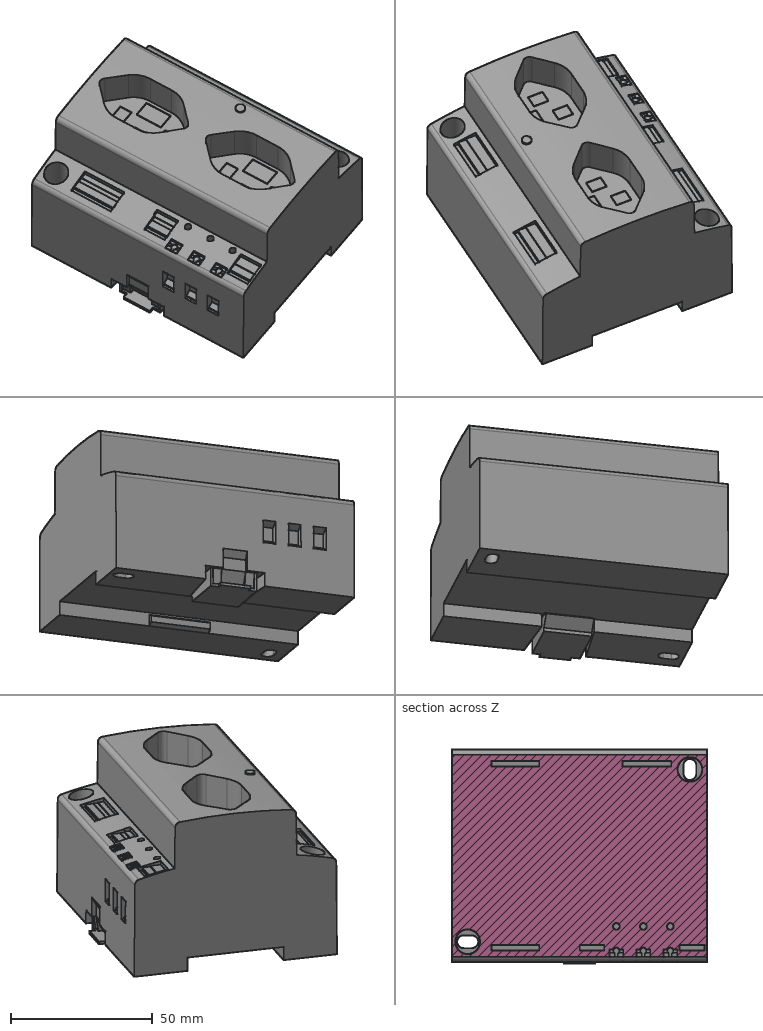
import cadquery as cq
import math

LENGTH = 90.0
BASE_HALF_DEPTH = 37.5
TOWER_HALF_DEPTH = 22.6
WALL_DRAFT = 0.25
TOP_HEIGHT = 57.35
TOP_RADIUS = 217.0
SHOULDER_CROWN = 40.85
SHOULDER_RADIUS = 146.0
EDGE_RADIUS = 2.0

RAIL_HALF_WIDTH = 17.75
RAIL_DEPTH = 5.0
CATCH_REACH = 1.8
CATCH_HALF_LENGTH = 11.2
CATCH_NOSE_BOTTOM = 1.0
CATCH_NOSE_TOP = 3.3
CATCH_BEND = 3.9
CATCH_TOP = 4.0

SOCKET_X = 22.6
SOCKET_FLOOR = 44.3
SOCKET_HALF_LENGTH = 19.4
SOCKET_HALF_WIDTH = 10.6
SOCKET_SIDE_RADIUS = 10.3
SOCKET_NOSE_RADIUS = 2.3
OPENING_DEPTH = 0.3
PIN_OPENING = (4.7, 5.7)
PIN_PITCH = 9.5
EARTH_PIN_Y = -4.9
WIDE_OPENING = (10.3, 6.2)
WIDE_OPENING_Y = 6.2

LAMP_X = 6.6
LAMP_Y = 17.5
LAMP_RADIUS = 1.75
LAMP_TOP = 57.2

WINDOW_INNER_Y = 24.65
WINDOW_STEP_Y = (28.45, 31.5)
WINDOW_OUTER_Y = 33.3
WINDOW_FLOORS = (37.3, 37.0, 36.0)
GROOVE_Y = (26.8, 28.45)
GROOVE_FLOOR = 37.05
LONG_WINDOW_LEFT = (-31.0, -14.2)
LONG_WINDOW_RIGHT = (15.2, 32.3)
SHORT_WINDOW_MIDDLE = (0.1, 8.7)
SHORT_WINDOW_RIGHT = (35.3, 44.0)
WIDENED_BY = 0.4

TERMINAL_XS = (13.0, 22.5, 32.0)
TERMINAL_WIDTH = 4.7
WIRE_BOTTOM = 16.3
WIRE_TOP = 24.7
WIRE_BACK_BOTTOM = 17.9
WIRE_BACK_TOP = 23.05
WIRE_DEPTH = 3.0
WIRE_LIP_DEPTH = 1.0
WIRE_LIP_TOP = 16.75
PIT_INNER_Y = 31.8
PIT_STEP_Y = (33.1, 34.1)
PIT_OUTER_Y = 35.65
PIT_FLOORS = (36.5, 36.35, 36.2)
KEYHOLE_Y = -33.5
KEYHOLE_RADIUS = 1.1
KEYHOLE_SLOT = 1.0
KEYHOLE_FLOOR = 36.0
STATUS_HOLE_Y = -24.9
STATUS_HOLE_RADIUS = 1.15
STATUS_HOLE_FLOOR = 34.0

BORE_RADIUS = 4.3
BORE_FLOOR = 8.0
SLOT_LENGTH = 7.4
SLOT_WIDTH = 4.4
FRONT_MOUNT = (-39.4, -30.3)
BACK_MOUNT = (38.9, 30.4)

LATCH_HALF_WIDTH = 8.65
LATCH_BOTTOM = -1.8
LATCH_FRONT_Y = -35.9
LATCH_WALL = 0.85
LATCH_FLOOR = -0.75
LATCH_POCKET_BACK_Y = -35.0
HOOK_BOTTOM = -0.4
HOOK_TIP = (-14.3, 3.5)
HOOK_BEND = (-16.1, 4.0)
HOOK_TOP_Y = -16.7
RECESS_FRONT_HALF_WIDTH = 11.2
RECESS_BACK_HALF_WIDTH = 9.5
TONGUE_HALF_WIDTH = 5.6
TONGUE_TIP_Y = -37.98
TOOL_SLOT_HALF_WIDTH = 4.5
TOOL_SLOT_TOP = 12.35
TOOL_SLOT_BACK_TOP = 9.4
TOOL_SLOT_BACK_BOTTOM = RAIL_DEPTH
TOOL_SLOT_BACK_Y = LATCH_FRONT_Y
TOOL_SLOT_FOOT_Y = -33.3

ABOVE = 5.0


def arc_height(crown, radius, y):
    """Height at y of a circular arc in the YZ plane, highest at y = 0."""
    return crown - radius + math.sqrt(radius**2 - y**2)


def box(x_range, y_range, z_range):
    """Box between two values along each axis."""
    size = [high - low for low, high in (x_range, y_range, z_range)]
    return cq.Workplane("XY").box(*size, centered=False).translate((x_range[0], y_range[0], z_range[0]))


def bar(points, half_width, x_centre=0):
    """Outline of (y, z) points extruded along X to half_width each side of x_centre."""
    outline = cq.Workplane("YZ").polyline(points).close()
    return outline.extrude(half_width, both=True).translate((x_centre, 0, 0))


def make_housing():
    body_top_y = BASE_HALF_DEPTH - WALL_DRAFT
    tower_top_y = TOWER_HALF_DEPTH - WALL_DRAFT
    middle_y = (body_top_y + TOWER_HALF_DEPTH) / 2

    def shoulder(y):
        return (y, arc_height(SHOULDER_CROWN, SHOULDER_RADIUS, y))

    tower_top_z = arc_height(TOP_HEIGHT, TOP_RADIUS, tower_top_y)
    profile = (
        cq.Workplane("YZ")
        .moveTo(-BASE_HALF_DEPTH, 0)
        .lineTo(*shoulder(-body_top_y))
        .threePointArc(shoulder(-middle_y), shoulder(-TOWER_HALF_DEPTH))
        .lineTo(-tower_top_y, tower_top_z)
        .threePointArc((0, TOP_HEIGHT), (tower_top_y, tower_top_z))
        .lineTo(*shoulder(TOWER_HALF_DEPTH))
        .threePointArc(shoulder(middle_y), shoulder(body_top_y))
        .lineTo(BASE_HALF_DEPTH, 0)
        .lineTo(RAIL_HALF_WIDTH, 0)
        .lineTo(RAIL_HALF_WIDTH, RAIL_DEPTH)
        .lineTo(-RAIL_HALF_WIDTH, RAIL_DEPTH)
        .lineTo(-RAIL_HALF_WIDTH, 0)
        .close()
    )
    housing = profile.extrude(LENGTH / 2, both=True)
    for y, z in ((body_top_y, shoulder(body_top_y)[1]), (tower_top_y, tower_top_z)):
        for side in (-1, 1):
            corner = cq.selectors.NearestToPointSelector((0, side * y, z))
            housing = housing.edges("|X").edges(corner).fillet(EDGE_RADIUS)
    return housing


def make_catch():
    tip_y = RAIL_HALF_WIDTH - CATCH_REACH
    points = [
        (RAIL_HALF_WIDTH, 0.0),
        (tip_y, CATCH_NOSE_BOTTOM),
        (tip_y, CATCH_NOSE_TOP),
        (RAIL_HALF_WIDTH - CATCH_REACH / 2, CATCH_BEND),
        (RAIL_HALF_WIDTH, CATCH_TOP),
    ]
    return bar(points, CATCH_HALF_LENGTH)


def socket_cutter():
    """Pointed six-sided recess with 45 degree flanks and rounded corners."""
    shoulder_x = SOCKET_HALF_LENGTH - SOCKET_HALF_WIDTH
    points = [
        (-SOCKET_HALF_LENGTH, 0),
        (-shoulder_x, SOCKET_HALF_WIDTH),
        (shoulder_x, SOCKET_HALF_WIDTH),
        (SOCKET_HALF_LENGTH, 0),
        (shoulder_x, -SOCKET_HALF_WIDTH),
        (-shoulder_x, -SOCKET_HALF_WIDTH),
    ]
    height = TOP_HEIGHT + ABOVE - SOCKET_FLOOR
    recess = cq.Workplane("XY").polyline(points).close().extrude(height)
    recess = recess.edges("|Z").edges("<X or >X").fillet(SOCKET_NOSE_RADIUS)
    for x in (-shoulder_x, shoulder_x):
        for y in (-SOCKET_HALF_WIDTH, SOCKET_HALF_WIDTH):
            corner = cq.selectors.NearestToPointSelector((x, y, height / 2))
            recess = recess.edges("|Z").edges(corner).fillet(SOCKET_SIDE_RADIUS)
    return recess.translate((0, 0, SOCKET_FLOOR))


def contact_openings():
    floor = cq.Workplane("XY").workplane(offset=SOCKET_FLOOR - OPENING_DEPTH)
    pin_places = [(-PIN_PITCH, 0), (PIN_PITCH, 0), (0, EARTH_PIN_Y)]
    pins = floor.pushPoints(pin_places).rect(*PIN_OPENING).extrude(OPENING_DEPTH)
    wide = floor.center(0, WIDE_OPENING_Y).rect(*WIDE_OPENING).extrude(OPENING_DEPTH)
    return pins.union(wide)


def make_lamp():
    lamp = cq.Workplane("XY").circle(LAMP_RADIUS).extrude(LAMP_TOP - SOCKET_FLOOR)
    return lamp.translate((LAMP_X, LAMP_Y, SOCKET_FLOOR))


def stepped_cutter(half_width, y_edges, floors):
    """Cutter open at the top, on the +Y side, whose floor steps at the given y values."""
    top = SHOULDER_CROWN
    points = [(y_edges[0], top)]
    for index, floor in enumerate(floors):
        points.append((y_edges[index], floor))
        points.append((y_edges[index + 1], floor))
    points.append((y_edges[-1], top))
    return bar(points, half_width)


def window_cutter(x_range, side, grooved=False):
    """Shoulder window with a stepped floor; side is -1 at the front and 1 at the back."""
    y_edges = (WINDOW_INNER_Y, *WINDOW_STEP_Y, WINDOW_OUTER_Y)
    cutter = stepped_cutter((x_range[1] - x_range[0]) / 2, y_edges, WINDOW_FLOORS)
    cutter = cutter.translate((sum(x_range) / 2, 0, 0))
    if grooved:
        cutter = cutter.union(box(x_range, GROOVE_Y, (GROOVE_FLOOR, SHOULDER_CROWN)))
    return cutter if side > 0 else cutter.mirror("XZ")


def window_cutters():
    left = SHORT_WINDOW_MIDDLE[0]
    widening = box(
        (left - WIDENED_BY, left),
        (-GROOVE_Y[0], -WINDOW_INNER_Y),
        (WINDOW_FLOORS[0], SHOULDER_CROWN),
    )
    return [
        window_cutter(LONG_WINDOW_LEFT, -1, grooved=True),
        window_cutter(SHORT_WINDOW_MIDDLE, -1, grooved=True),
        widening,
        window_cutter(SHORT_WINDOW_RIGHT, -1),
        window_cutter(LONG_WINDOW_LEFT, 1),
        window_cutter(LONG_WINDOW_RIGHT, 1),
    ]


def terminal_cutters(x):
    """Wire entry in the front wall, screw pit above it and status hole behind that."""
    front = -BASE_HALF_DEPTH
    wire_back = front + WIRE_DEPTH
    wire_points = [
        (front, WIRE_BOTTOM),
        (front + WIRE_LIP_DEPTH, WIRE_BOTTOM),
        (front + WIRE_LIP_DEPTH, WIRE_LIP_TOP),
        (wire_back, WIRE_BACK_BOTTOM),
        (wire_back, WIRE_BACK_TOP),
        (front, WIRE_TOP),
    ]
    wire = bar(wire_points, TERMINAL_WIDTH / 2, x)

    pit_edges = (PIT_INNER_Y, *PIT_STEP_Y, PIT_OUTER_Y)
    pit = stepped_cutter(TERMINAL_WIDTH / 2, pit_edges, PIT_FLOORS).mirror("XZ").translate((x, 0, 0))
    keyhole_z = (KEYHOLE_FLOOR, SHOULDER_CROWN)
    keyhole = round_cutter(x, KEYHOLE_Y, KEYHOLE_RADIUS, KEYHOLE_FLOOR)
    slot_x = (x - KEYHOLE_SLOT / 2, x + KEYHOLE_SLOT / 2)
    keyhole_slot = box(slot_x, (-PIT_OUTER_Y, KEYHOLE_Y), keyhole_z)

    status = round_cutter(x, STATUS_HOLE_Y, STATUS_HOLE_RADIUS, STATUS_HOLE_FLOOR)
    return [wire, pit, keyhole, keyhole_slot, status]


def round_cutter(x, y, radius, floor):
    """Upright cylinder from floor to above the shoulder."""
    return cq.Workplane("XY").circle(radius).extrude(SHOULDER_CROWN - floor).translate((x, y, floor))


def mount_cutters(place, slot_angle):
    """Counterbored through slot for a fixing screw."""
    bore = round_cutter(*place, BORE_RADIUS, BORE_FLOOR)
    slot = cq.Workplane("XY").slot2D(SLOT_LENGTH, SLOT_WIDTH, slot_angle).extrude(BORE_FLOOR)
    return [bore, slot.translate((*place, 0))]


def latch_recess():
    """Bay through the front foot, narrowing towards the rail notch."""
    points = [
        (-RECESS_FRONT_HALF_WIDTH, -BASE_HALF_DEPTH),
        (RECESS_FRONT_HALF_WIDTH, -BASE_HALF_DEPTH),
        (RECESS_BACK_HALF_WIDTH, -RAIL_HALF_WIDTH),
        (-RECESS_BACK_HALF_WIDTH, -RAIL_HALF_WIDTH),
    ]
    return cq.Workplane("XY").polyline(points).close().extrude(RAIL_DEPTH)


def tool_slot():
    """Screwdriver slot above the latch, running down into it."""
    points = [
        (-BASE_HALF_DEPTH, TOOL_SLOT_TOP),
        (TOOL_SLOT_BACK_Y, TOOL_SLOT_BACK_TOP),
        (TOOL_SLOT_BACK_Y, TOOL_SLOT_BACK_BOTTOM),
        (TOOL_SLOT_FOOT_Y, LATCH_FLOOR),
        (-BASE_HALF_DEPTH, LATCH_FLOOR),
    ]
    return bar(points, TOOL_SLOT_HALF_WIDTH)


def make_latch():
    """Sliding foot with a hook in the rail notch and a pull tongue at the front."""
    slider_points = [
        (LATCH_FRONT_Y, LATCH_BOTTOM),
        (-RAIL_HALF_WIDTH, LATCH_BOTTOM),
        (-RAIL_HALF_WIDTH, HOOK_BOTTOM),
        HOOK_TIP,
        HOOK_BEND,
        (HOOK_TOP_Y, RAIL_DEPTH),
        (LATCH_FRONT_Y, RAIL_DEPTH),
    ]
    slider = bar(slider_points, LATCH_HALF_WIDTH)
    pocket_points = [
        (LATCH_FRONT_Y, RAIL_DEPTH),
        (LATCH_POCKET_BACK_Y, LATCH_FLOOR),
        (LATCH_FRONT_Y, LATCH_FLOOR),
    ]
    pocket = bar(pocket_points, LATCH_HALF_WIDTH - LATCH_WALL)
    tongue = box(
        (-TONGUE_HALF_WIDTH, TONGUE_HALF_WIDTH),
        (TONGUE_TIP_Y, LATCH_FRONT_Y),
        (LATCH_BOTTOM, LATCH_FLOOR),
    )
    return slider.cut(pocket).union(tongue)


def make_part():
    part = make_housing().union(make_lamp())
    for x in (-SOCKET_X, SOCKET_X):
        part = part.cut(socket_cutter().translate((x, 0, 0)))
        part = part.cut(contact_openings().translate((x, 0, 0)))

    cutters = window_cutters()
    for x in TERMINAL_XS:
        cutters += terminal_cutters(x)
    cutters += mount_cutters(FRONT_MOUNT, 0)
    cutters += mount_cutters(BACK_MOUNT, 90)
    cutters.append(latch_recess())
    for cutter in cutters:
        part = part.cut(cutter)
    return part.union(make_latch()).cut(tool_slot()).union(make_catch())


result = make_part()